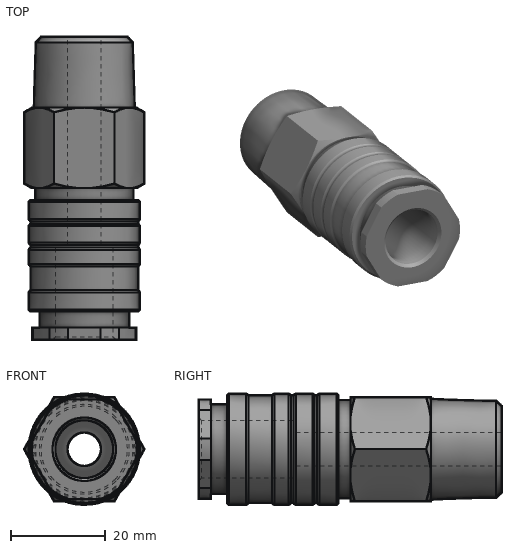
import cadquery as cq
import math

total_length = 64.0

flange_length = 2.6
flange_radius = 11.05
flange_across_flats = 21.0

front_neck_radius = 9.5

sleeve_front = 6.0
sleeve_back = 29.5
sleeve_radius = 11.75
groove_depth = 0.35
groove_side_length = 0.5
sleeve_edge_chamfer = 0.4
narrow_groove_width = 1.5
wide_groove_width = 6.0
grooves = [
    (10.0, wide_groove_width),
    (19.0, narrow_groove_width),
    (24.0, narrow_groove_width),
]

flats_to_corners = 2 / math.sqrt(3)

tail_length = 15.0
hex_length = 17.0
hex_across_flats = 22.0
hex_chamfer_angle = 30.0
hex_back = total_length - tail_length
hex_front = hex_back - hex_length
hex_corner_radius = hex_across_flats / 2 * flats_to_corners

rear_neck_radius = 10.4

gauge_radius = 20.955 / 2
gauge_length = 8.16
radial_taper = 1 / 32
tail_chamfer_length = 1.24
tail_end_radius = 9.1

bore_radius = 3.5
socket_radius = 6.1
socket_depth = 20.0
socket_chamfer = 0.6


def revolve_profile(points):
    """Revolve a closed (radius, y) outline about the Y axis."""
    return cq.Workplane("XY").polyline(points).close().revolve(360, (0, 0, 0), (0, 1, 0))


def cylinder(radius, y_start, y_end):
    """Solid cylinder on the Y axis between two stations."""
    return revolve_profile([(0, y_start), (radius, y_start), (radius, y_end), (0, y_end)])


def hexagonal_prism(across_flats, y_start, y_end):
    """Hexagonal bar along Y with corners on the X axis and flats facing +Z and -Z."""
    corner_diameter = across_flats * flats_to_corners
    bar = cq.Workplane("XZ").polygon(6, corner_diameter).extrude(y_start - y_end)
    return bar.translate((0, y_start, 0))


def make_flange():
    flats = hexagonal_prism(flange_across_flats, 0, flange_length)
    return cylinder(flange_radius, 0, flange_length).intersect(flats)


def make_sleeve():
    chamfered_radius = sleeve_radius - sleeve_edge_chamfer
    groove_radius = sleeve_radius - groove_depth
    outline = [
        (0, sleeve_front),
        (chamfered_radius, sleeve_front),
        (sleeve_radius, sleeve_front + sleeve_edge_chamfer),
    ]
    for start, width in grooves:
        end = start + width
        outline += [
            (sleeve_radius, start),
            (groove_radius, start + groove_side_length),
            (groove_radius, end - groove_side_length),
            (sleeve_radius, end),
        ]
    outline += [
        (sleeve_radius, sleeve_back - sleeve_edge_chamfer),
        (chamfered_radius, sleeve_back),
        (0, sleeve_back),
    ]
    return revolve_profile(outline)


def make_hexagon():
    """Wrench hexagon with its corners coned off at both ends, down to the flats' inscribed circle."""
    inner_radius = hex_across_flats / 2
    cone_length = (hex_corner_radius - inner_radius) * math.tan(math.radians(hex_chamfer_angle))
    envelope = revolve_profile([
        (0, hex_front),
        (inner_radius, hex_front),
        (hex_corner_radius, hex_front + cone_length),
        (hex_corner_radius, hex_back - cone_length),
        (inner_radius, hex_back),
        (0, hex_back),
    ])
    return hexagonal_prism(hex_across_flats, hex_front, hex_back).intersect(envelope)


def make_tail():
    base_radius = gauge_radius + (tail_length - gauge_length) * radial_taper
    tip_radius = gauge_radius - (gauge_length - tail_chamfer_length) * radial_taper
    return revolve_profile([
        (0, hex_back),
        (base_radius, hex_back),
        (gauge_radius, total_length - gauge_length),
        (tip_radius, total_length - tail_chamfer_length),
        (tail_end_radius, total_length),
        (0, total_length),
    ])


def make_bores():
    """Through bore with a wider, chamfered socket at the front."""
    return revolve_profile([
        (0, 0),
        (socket_radius + socket_chamfer, 0),
        (socket_radius, socket_chamfer),
        (socket_radius, socket_depth),
        (bore_radius, socket_depth),
        (bore_radius, total_length),
        (0, total_length),
    ])


front_neck = cylinder(front_neck_radius, flange_length, sleeve_front)
rear_neck = cylinder(rear_neck_radius, sleeve_back, hex_front)

body = make_flange()
for section in (front_neck, make_sleeve(), rear_neck, make_hexagon(), make_tail()):
    body = body.union(section)

result = body.cut(make_bores())